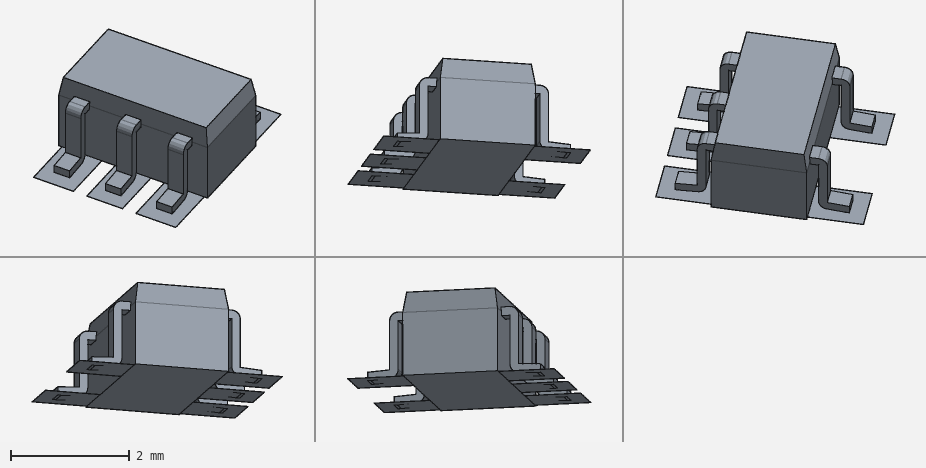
import cadquery as cq
import math

body_length = 2.9
body_width = 1.647
body_height = 1.45
shoulder_height = 1.09
cap_inset = 0.057

lead_pitch = 1.0
lead_width = 0.3
lead_thickness = 0.15
lead_top = 1.167
lead_outer_face = 1.12
lead_tip = 1.5
lead_embed = 0.107
foot_angle = math.radians(3.6)

pad_span = 3.58
pad_thickness = 0.005
corner_pad_inner = 0.61
corner_pad_outer = 1.385
middle_pad_width = 0.695
pad_embed = 0.18


def make_body():
    cap_height = body_height - shoulder_height
    cap_taper = math.degrees(math.atan2(cap_inset, cap_height))
    block = cq.Workplane("XY").box(
        body_length, body_width, shoulder_height, centered=(True, True, False)
    )
    cap = (
        cq.Workplane("XY")
        .workplane(offset=shoulder_height)
        .rect(body_length, body_width)
        .extrude(cap_height, taper=cap_taper)
    )
    return block.union(cap)


def make_lead(x_center):
    """Lead leaving the +Y side; both bends are sharp inside and round outside."""
    inner_face = lead_outer_face - lead_thickness
    root = body_width / 2 - lead_embed
    upper_bend_z = lead_top - lead_thickness
    tip_height = lead_thickness / math.cos(foot_angle)
    foot_length = lead_tip - lead_outer_face
    lower_bend_z = tip_height + foot_length * math.tan(foot_angle)

    def on_bend(center_y, center_z, angle):
        return (
            center_y + lead_thickness * math.cos(angle),
            center_z + lead_thickness * math.sin(angle),
        )

    foot_normal = 1.5 * math.pi - foot_angle
    lower_mid = on_bend(lead_outer_face, lower_bend_z, (math.pi + foot_normal) / 2)
    lower_end = on_bend(lead_outer_face, lower_bend_z, foot_normal)
    upper_mid = on_bend(inner_face, upper_bend_z, math.pi / 4)

    return (
        cq.Workplane("YZ")
        .workplane(offset=x_center - lead_width / 2)
        .moveTo(root, upper_bend_z)
        .lineTo(inner_face, upper_bend_z)
        .lineTo(inner_face, lower_bend_z)
        .threePointArc(lower_mid, lower_end)
        .lineTo(lead_tip, 0)
        .lineTo(lead_tip, tip_height)
        .lineTo(lead_outer_face, lower_bend_z)
        .lineTo(lead_outer_face, upper_bend_z)
        .threePointArc(upper_mid, (inner_face, lead_top))
        .lineTo(root, lead_top)
        .close()
        .extrude(lead_width)
    )


def make_pad(x_center, width):
    """Pad on the +Y side, running a little way into the body."""
    inner_end = body_width / 2 - pad_embed
    length = pad_span / 2 - inner_end
    return (
        cq.Workplane("XY")
        .center(x_center, inner_end + length / 2)
        .rect(width, length)
        .extrude(pad_thickness)
    )


corner_pad_width = corner_pad_outer - corner_pad_inner
corner_pad_center = (corner_pad_outer + corner_pad_inner) / 2

result = make_body()
for side in (-1, 1):
    lead = make_lead(side * lead_pitch)
    pad = make_pad(side * corner_pad_center, corner_pad_width)
    for feature in (lead, pad):
        result = result.union(feature).union(feature.mirror("XZ"))

for feature in (make_lead(0), make_pad(0, middle_pad_width)):
    result = result.union(feature.mirror("XZ"))